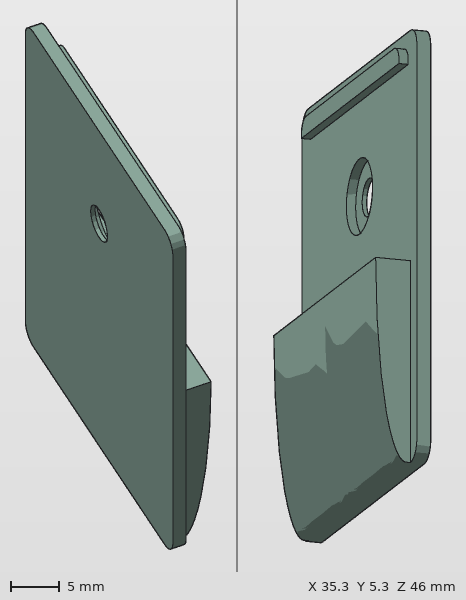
import cadquery as cq

plate_width = 35.3
plate_height = 46
plate_thickness = 1.5
corner_radius = 2.0

hole_diameter = 4.0
hole_height = 32.48

recess_diameter = 2 * hole_diameter
web_thickness = 0.5

lip_width = 30.0
lip_height = 2.0
lip_depth = 1.0
lip_top_gap = 1.45
lip_corner_radius = 1.5

total_depth = 5.3
wedge_width = plate_width - 2 * corner_radius
wedge_height = 21.5
wedge_foot_depth = 0.45


def make_plate():
    plate = (
        cq.Workplane("XY")
        .box(plate_width, plate_thickness, plate_height, centered=(True, False, False))
        .edges("|Y")
        .fillet(corner_radius)
    )
    hole = (
        cq.Workplane("XZ")
        .center(0, hole_height)
        .circle(hole_diameter / 2)
        .extrude(-plate_thickness)
    )
    recess = (
        cq.Workplane("XZ", origin=(0, web_thickness, hole_height))
        .circle(recess_diameter / 2)
        .extrude(web_thickness - plate_thickness)
    )
    return plate.cut(hole).cut(recess)


def make_lip():
    """Bar with square lower corners and rounded upper corners."""
    lip_bottom = plate_height - lip_top_gap - lip_height
    return (
        cq.Workplane("XY")
        .box(lip_width, lip_depth, lip_height, centered=(True, False, False))
        .edges("|Y and >Z")
        .fillet(lip_corner_radius)
        .translate((0, plate_thickness, lip_bottom))
    )


def make_wedge():
    """Quarter-ellipse profile in YZ, deepest at its flat top, with a short flat foot."""
    foot_y = plate_thickness + wedge_foot_depth
    ellipse_depth = total_depth - foot_y
    ellipse = (
        cq.Workplane("YZ")
        .center(foot_y, wedge_height)
        .ellipse(ellipse_depth, wedge_height)
        .extrude(wedge_width / 2, both=True)
    )
    curved_side = cq.Workplane("XY").box(
        wedge_width, ellipse_depth, wedge_height, centered=(True, False, False)
    ).translate((0, foot_y, 0)).intersect(ellipse)
    foot = cq.Workplane("XY").box(
        wedge_width, wedge_foot_depth, wedge_height, centered=(True, False, False)
    ).translate((0, plate_thickness, 0))
    return foot.union(curved_side)


result = make_plate().union(make_lip()).union(make_wedge())